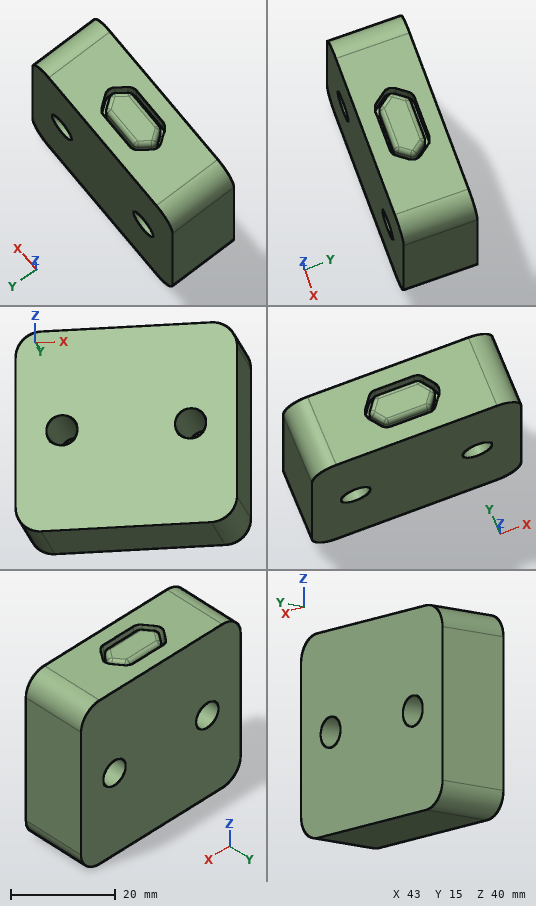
import cadquery as cq
import math

WIDTH = 43.0
DEPTH = 15.0
HEIGHT = 40.0
CORNER_RADIUS = 5.0

HOLE_DIAMETER = 6.0
HOLE_SPACING = 25.0

POCKET_LENGTH = 14.95
POCKET_WIDTH = 8.0
POCKET_FLAT = 8.0
POCKET_RADIUS = 1.98
POCKET_DEPTH = 4.0

BUTTON_GAP = 0.85
BUTTON_HEIGHT = POCKET_DEPTH
BUTTON_EDGE_FILLET = 1.0

POCKET_FLOOR = HEIGHT / 2 - POCKET_DEPTH


def rounded_hexagon(inset, height):
    """Elongated hexagonal prism on the pocket floor, its outline inset evenly from the pocket wall."""
    radius = POCKET_RADIUS - inset

    arc_x = POCKET_FLAT / 2
    arc_y = POCKET_WIDTH / 2 - POCKET_RADIUS
    tip_arc_x = POCKET_LENGTH / 2 - POCKET_RADIUS

    slope = math.atan2(arc_y, tip_arc_x - arc_x)

    corner_x = arc_x + radius * math.tan(slope / 2)
    corner_y = arc_y + radius
    tip_x = tip_arc_x + radius / math.sin(slope)

    return (
        cq.Workplane("XY", origin=(0, 0, POCKET_FLOOR))
        .polyline([
            (-corner_x, -corner_y),
            (corner_x, -corner_y),
            (tip_x, 0),
            (corner_x, corner_y),
            (-corner_x, corner_y),
            (-tip_x, 0),
        ])
        .close()
        .extrude(height)
        .edges("|Z")
        .fillet(radius)
    )


def make_housing():
    """Block with four rounded corners, two through holes and the button pocket."""
    block = cq.Workplane("XY").box(WIDTH, DEPTH, HEIGHT).edges("|Y").fillet(CORNER_RADIUS)
    holes = (
        cq.Workplane("XZ", origin=(0, DEPTH / 2, 0))
        .pushPoints([(-HOLE_SPACING / 2, 0), (HOLE_SPACING / 2, 0)])
        .circle(HOLE_DIAMETER / 2)
        .extrude(DEPTH)
    )
    pocket = rounded_hexagon(0, POCKET_DEPTH)
    return block.cut(holes).cut(pocket)


def make_button():
    """Hexagonal button with a rounded top edge, resting on the pocket floor."""
    return rounded_hexagon(BUTTON_GAP, BUTTON_HEIGHT).faces(">Z").edges().fillet(BUTTON_EDGE_FILLET)


housing = make_housing()
button = make_button()

result = cq.Compound.makeCompound([housing.val(), button.val()])